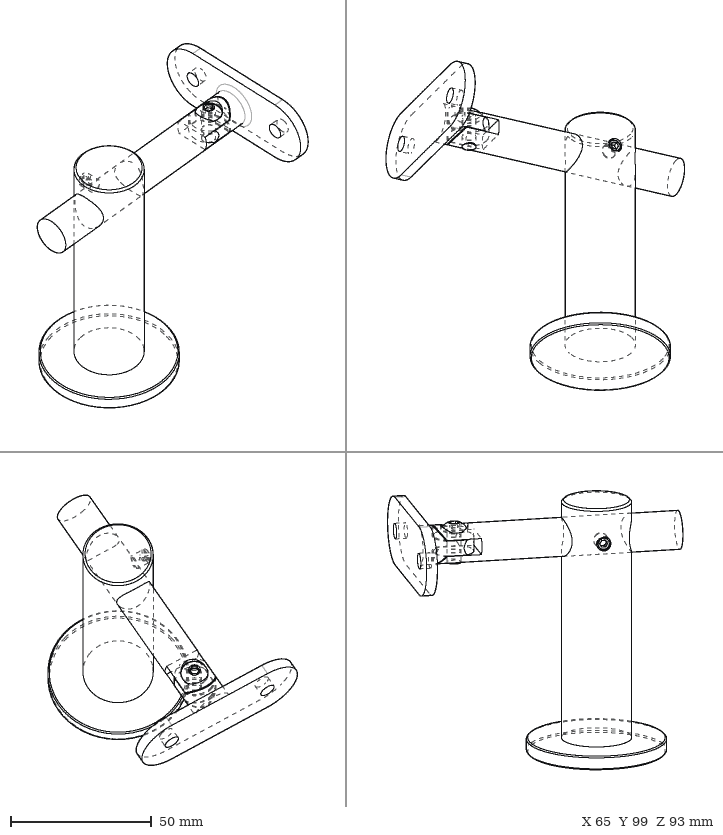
import cadquery as cq
import math

base_diameter = 50.0
base_height = 5.0
post_diameter = 25.0
post_top = 93.0
base_chamfer = 0.5
post_chamfer = 0.8

rod_diameter = 14.0
rod_axis_height = 80.0
rod_front_y = -30.0
rod_radius = rod_diameter / 2

wall_y = 69.0
plate_thickness = 4
plate_height = 25.0
plate_hole_spacing = 40.0
plate_hole_diameter = 5.5
plate_front_y = wall_y - plate_thickness
stub_fillet = 1.7

pivot_y = 51.9
joint_radius = 7.4
joint_gap = 0.4
slot_height = 5.9
tongue_thickness = 5.5
slot_end_y = 43.3
stub_joint_y = pivot_y + joint_gap

pivot_shank_diameter = 5.0
pivot_head_diameter = 9.5
pivot_recess_diameter = 9.8
pivot_head_flat_diameter = 4.2
pivot_head_height = 2.6
pivot_head_top = 7.7
pivot_shank_bottom = -rod_radius
pivot_socket_width = 3
pivot_socket_depth = 1.6
pivot_seat = pivot_head_top - pivot_head_height

set_screw_diameter = 5.0
set_screw_face_x = -12.0
set_screw_chamfer = 0.5
set_socket_width = 2.5
set_socket_depth = 2


def cylinder_z(diameter, bottom, top, y=0):
    """Upright cylinder between two heights."""
    return cq.Workplane().workplane(offset=bottom).center(0, y).circle(diameter / 2).extrude(top - bottom)


def cylinder_y(diameter, front, back):
    """Cylinder lying along Y on the rod axis."""
    return (
        cq.Workplane("XZ", origin=(0, front, rod_axis_height))
        .circle(diameter / 2)
        .extrude(front - back)
    )


def cylinder_x(diameter, left, right):
    """Cylinder lying along X at the height of the rod axis."""
    return (
        cq.Workplane("YZ", origin=(left, 0, rod_axis_height))
        .circle(diameter / 2)
        .extrude(right - left)
    )


def hexagon_diameter(width):
    """Corner-to-corner size of a hexagon with the given width across flats."""
    return width / math.cos(math.pi / 6)


def pivot_cylinder(diameter, bottom, top):
    """Cylinder on the pivot axis; heights are measured from the rod axis."""
    return cylinder_z(diameter, rod_axis_height + bottom, rod_axis_height + top, pivot_y)


def rounded_block(end_y, nose_y, bottom, top):
    """Block from end_y to nose_y that ends there in a round nose of the joint radius."""
    length = abs(end_y - nose_y)
    block = cq.Workplane().box(2 * joint_radius, length, top - bottom).translate(
        (0, (end_y + nose_y) / 2, rod_axis_height + (bottom + top) / 2)
    )
    nose = cylinder_z(2 * joint_radius, rod_axis_height + bottom, rod_axis_height + top, nose_y)
    return block.union(nose)


def hexagon_socket(plane, width, depth):
    """Hexagon hole sunk against the plane normal, with a conical drill point at its bottom."""
    hexagon = cq.Workplane(plane).polygon(6, hexagon_diameter(width)).extrude(-depth)
    drill_point = cq.Solid.makeCone(
        width / 2, 0, width / 2, plane.origin - plane.zDir * depth, plane.zDir * -1
    )
    return hexagon.union(cq.Workplane(drill_point))


def make_post():
    base = cylinder_z(base_diameter, 0, base_height).edges().chamfer(base_chamfer)
    column = cylinder_z(post_diameter, 0, post_top).faces(">Z").edges().chamfer(post_chamfer)
    rod_hole = cylinder_y(rod_diameter, -post_diameter, post_diameter)
    screw_hole = cylinder_x(set_screw_diameter, -post_diameter, 0)
    return base.union(column).cut(rod_hole).cut(screw_hole)


def make_rod():
    body = cylinder_y(rod_diameter, rod_front_y, pivot_y + joint_radius)
    body = body.intersect(rounded_block(rod_front_y, pivot_y, -rod_diameter, rod_diameter))
    slot_length = wall_y - slot_end_y
    slot = cq.Workplane().box(2 * rod_diameter, slot_length, slot_height).translate(
        (0, slot_end_y + slot_length / 2, rod_axis_height)
    )
    shank_hole = pivot_cylinder(pivot_shank_diameter, -rod_diameter, rod_diameter)
    head_recess = pivot_cylinder(pivot_recess_diameter, pivot_seat, rod_diameter)
    return body.cut(slot).cut(shank_hole).cut(head_recess)


def make_wall_bracket():
    plate = (
        cq.Workplane("XZ", origin=(0, wall_y, rod_axis_height))
        .slot2D(plate_hole_spacing + plate_height, plate_height)
        .extrude(plate_thickness)
    )
    half_tongue = tongue_thickness / 2
    stub = cylinder_y(rod_diameter, stub_joint_y - joint_radius, plate_front_y)
    stub = stub.intersect(rounded_block(wall_y, stub_joint_y, -rod_diameter, rod_diameter))
    for bottom, top in ((-rod_diameter, -half_tongue), (half_tongue, rod_diameter)):
        stub = stub.cut(rounded_block(rod_front_y, stub_joint_y, bottom, top))
    root_flare = (
        cq.Workplane("XY", origin=(0, 0, rod_axis_height))
        .moveTo(0, plate_front_y)
        .lineTo(rod_radius + stub_fillet, plate_front_y)
        .radiusArc((rod_radius, plate_front_y - stub_fillet), -stub_fillet)
        .lineTo(0, plate_front_y - stub_fillet)
        .close()
        .revolve(360, (0, 0, 0), (0, 1, 0))
    )
    plate_holes = (
        cq.Workplane("XZ", origin=(0, wall_y, rod_axis_height))
        .pushPoints([(-plate_hole_spacing / 2, 0), (plate_hole_spacing / 2, 0)])
        .circle(plate_hole_diameter / 2)
        .extrude(plate_thickness)
    )
    pivot_hole = pivot_cylinder(pivot_shank_diameter, -half_tongue, half_tongue)
    return plate.union(stub).union(root_flare).cut(plate_holes).cut(pivot_hole)


def make_pivot_screw():
    head_radius = pivot_head_diameter / 2
    flat_radius = pivot_head_flat_diameter / 2
    dome_centre = (flat_radius**2 + pivot_head_height**2 - head_radius**2) / (2 * pivot_head_height)
    dome_radius = math.hypot(head_radius, dome_centre)
    head = (
        cq.Workplane("XZ", origin=(0, pivot_y, rod_axis_height + pivot_seat))
        .lineTo(head_radius, 0)
        .radiusArc((flat_radius, pivot_head_height), -dome_radius)
        .lineTo(0, pivot_head_height)
        .close()
        .revolve(360, (0, 0, 0), (0, 1, 0))
    )
    shank = pivot_cylinder(pivot_shank_diameter, pivot_shank_bottom, pivot_seat)
    socket_top = (0, pivot_y, rod_axis_height + pivot_head_top)
    top_plane = cq.Plane(socket_top, (0, 1, 0), (0, 0, 1))
    socket = hexagon_socket(top_plane, pivot_socket_width, pivot_socket_depth)
    return head.union(shank).cut(socket)


def make_set_screw():
    body = cylinder_x(set_screw_diameter, set_screw_face_x, -rod_radius)
    body = body.faces("<X").edges().chamfer(set_screw_chamfer)
    face_centre = (set_screw_face_x, 0, rod_axis_height)
    face_plane = cq.Plane(face_centre, (0, 1, 0), (-1, 0, 0))
    socket = hexagon_socket(face_plane, set_socket_width, set_socket_depth)
    return body.cut(socket)


post = make_post()
rod = make_rod()
wall_bracket = make_wall_bracket()
pivot_screw = make_pivot_screw()
set_screw = make_set_screw()

result = cq.Compound.makeCompound(
    [post.val(), rod.val(), wall_bracket.val(), pivot_screw.val(), set_screw.val()]
)